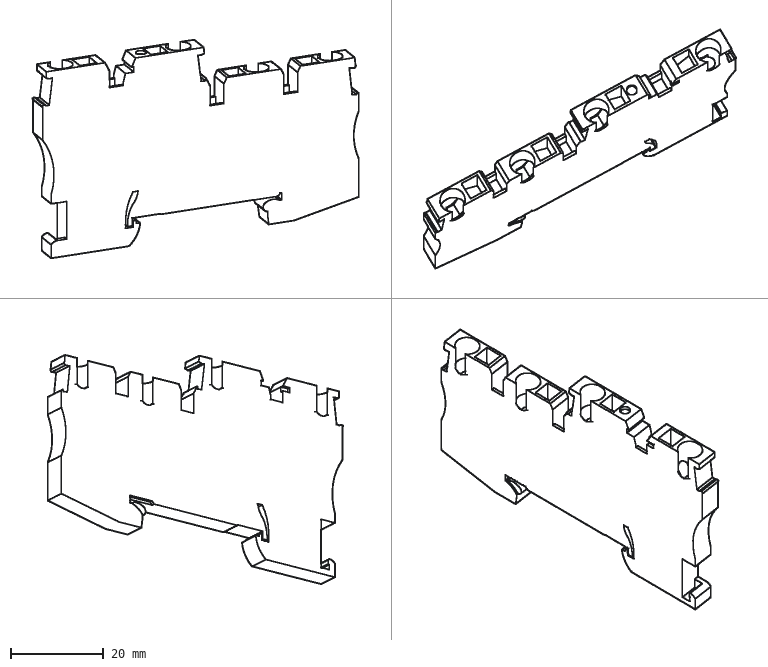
import cadquery as cq
import math

thickness = 5.2
near_face = -thickness / 2
upper_top = 43.3
lower_top = 35.5

notch_chamfer_width = 0.7
notch_chamfer_height = 1.35
notch_depth = 5.9
notch_width = 3.2
lower_notch_y = (58.8, 41.4)
upper_notch_y = 17.7
upper_notch_floor = upper_top - notch_depth
notch_pocket_width = 3.8
notch_pocket_depth = 3.75

bore_radius = 2.55
bore_straight = 0.4
bore_x = -0.34
bore_depth = 6.1
funnel_depth = 2.7
funnel_end_radius = 1.3
ramp_x = -0.2
ramp_width = 2.9
ramp_height = 1.8
ramp_start = -1.9
ramp_end = -1.2
wall_height = 1.8
channel_end = 0.7
opening_step = 5.55

opening_size = 4.0
opening_depth = 4.5
opening_slope = 35.0

terminals = [
    (69.35, lower_top, -1),
    (52.0, lower_top, -1),
    (33.55, upper_top, -1),
    (5.7, upper_top, 1),
]

test_hole_y = 24.6
test_hole_diameter = 2.25
test_hole_depth = 0.75

rail_recess_depth = 0.75
catch_recess_depth = 0.4
latch_slot_depth = 0.75
latch_top = 41.2
latch_bottom = 40.1
latch_slot_end = 14.2
foot_pocket_depth = 4.05


def side_plane():
    """Sketch plane on the -X flank: local x is Y, local y is Z, normal is +X."""
    return cq.Workplane("YZ", origin=(near_face, 0, 0))


def notch_outline(center_y, deck_z):
    """Points of a chamfered notch, from its +Y side to its -Y side."""
    half = notch_width / 2
    wide = half + notch_chamfer_width
    shoulder = deck_z - notch_chamfer_height
    floor = deck_z - notch_depth
    left_side = [(wide, deck_z), (half, shoulder), (half, floor)]
    right_side = [(-y, z) for y, z in reversed(left_side)]
    return [(center_y + y, z) for y, z in left_side + right_side]


def make_body():
    """Side outline of the block, extruded through the thickness."""
    end_lip = [
        (74.9, 27.1), (74.5, 27.3), (74.3, 26.9), (73.3, 27.0), (72.65, 33.25),
        (73.85, 33.1), (74.2, 33.55), (74.1, 34.0), (73.9, lower_top),
    ]
    first_notch, second_notch = [notch_outline(y, lower_top) for y in lower_notch_y]
    step_lip = [
        (38.8, 36.1), (38.65, lower_top), (37.7, 35.5), (36.9, 41.65),
        (37.7, 41.6), (38.4, 41.9), (38.3, upper_top),
    ]
    notch_left = upper_notch_y + notch_width / 2
    notch_right = upper_notch_y - notch_width / 2
    upper_notch = [
        (22.2, upper_top), (21.3, 41.3), (21.8, latch_top), (21.8, latch_bottom), (19.8, latch_bottom),
        (notch_left, 38.2), (notch_left, upper_notch_floor),
        (notch_right, upper_notch_floor), (notch_right, latch_top), (15.0, upper_top),
    ]
    front_lip = [
        (1.1, upper_top), (1.1, 41.8), (1.65, 41.6), (2.55, 41.65), (1.8, 35.5),
        (1.1, 35.4), (0.5, 35.7), (0, 35.5), (0.2, 35.2),
    ]
    clip_gap = [(2.25, 12.6), (5.9, 12.6), (5.9, 3.9), (3.75, 3.9)]
    hook = [
        (22.4, 5.0), (22.3, 5.7), (21.65, 5.7), (21.65, 4.95), (21.6, 4.3), (19.85, 4.3),
    ]
    rail_edge = [
        (21.4, 6.4), (28.0, 6.4), (28.15, 6.2), (55.9, 6.2), (56.3, 6.8), (56.6, 6.8), (56.6, 5.25),
    ]
    underside = [(53.3, 2.25), (53.6, 0), (59.55, 0), (74.9, 3.15), (74.9, 12.0)]
    outline = side_plane().moveTo(74.9, 23.1)
    for point in end_lip + first_notch + second_notch[:-1] + step_lip + upper_notch + front_lip:
        outline = outline.lineTo(*point)
    outline = outline.lineTo(0.2, 27.6).threePointArc((2.9, 19.5), (2.25, 14.75))
    for point in clip_gap:
        outline = outline.lineTo(*point)
    outline = outline.tangentArcPoint((2.25, 3.15), relative=False).lineTo(2.25, 0).lineTo(20.6, 0)
    outline = outline.threePointArc((22.55, 2.4), (23.3, 4.95))
    for point in hook:
        outline = outline.lineTo(*point)
    outline = outline.lineTo(19.85, 6.5).threePointArc((20.3, 9.4), (21.6, 12.4))
    outline = outline.lineTo(22.8, 12.4).threePointArc((22.25, 10.6), (21.4, 9.4))
    outline = outline.threePointArc((20.5, 7.2), (20.3, 4.6)).lineTo(21.4, 4.6)
    for point in rail_edge:
        outline = outline.lineTo(*point)
    outline = outline.lineTo(56.1, 5.25).threePointArc((54.7, 5.7), (53.2, 5.3))
    outline = outline.threePointArc((52.3, 4.3), (53.1, 3.1)).lineTo(53.3, 3.1)
    for point in underside:
        outline = outline.lineTo(*point)
    return outline.threePointArc((73.7, 17.5), (74.9, 23.1)).close().extrude(thickness)


def flank_recesses():
    """Shallow cuts into the -X flank."""
    rail_recess = (
        side_plane()
        .polyline([(56.6, 6.8), (50.85, 6.8), (50.25, 6.2), (56.6, 6.2)])
        .close()
        .extrude(rail_recess_depth)
    )
    catch_recess = (
        side_plane()
        .moveTo(56.6, 5.25)
        .threePointArc((54.75, 4.4), (53.3, 3.1))
        .lineTo(51.7, 3.1)
        .lineTo(51.7, 6.0)
        .lineTo(56.6, 6.0)
        .close()
        .extrude(catch_recess_depth)
    )
    latch_slot = (
        side_plane()
        .polyline([
            (upper_notch_y, latch_bottom), (latch_slot_end, latch_bottom),
            (latch_slot_end, latch_top), (upper_notch_y, latch_top),
        ])
        .close()
        .extrude(latch_slot_depth)
    )
    foot_pocket = (
        side_plane()
        .polyline([(5.9, 3.9), (5.9, 1.4), (3.8, 1.4), (3.8, 2.55), (4.05, 2.7), (4.05, 3.6), (3.75, 3.9)])
        .close()
        .extrude(foot_pocket_depth)
    )
    return [rail_recess, catch_recess, latch_slot, foot_pocket]


def wire_funnel(center_y, deck_z, side):
    """Oblong bore and tapered funnel, flattened by a ramp on the side of the tool opening."""
    length = bore_straight + 2 * bore_radius
    taper = math.degrees(math.atan((bore_radius - funnel_end_radius) / funnel_depth))

    def mouth():
        """Oblong section at the level where the bore meets the funnel."""
        return cq.Workplane("XY", origin=(bore_x, 0, -bore_depth)).slot2D(length, 2 * bore_radius, 90)

    bore = mouth().extrude(bore_depth)
    funnel = mouth().extrude(-funnel_depth, taper=taper)
    floor_z = -bore_depth - funnel_depth
    ramp_top = floor_z + ramp_height
    wall_top = ramp_top + wall_height
    wall_and_ramp = [(-length / 2, wall_top), (ramp_start, ramp_top), (ramp_end, floor_z)]
    below_ramp = (
        cq.Workplane("YZ")
        .polyline(wall_and_ramp + [(-length / 2, floor_z)])
        .close()
        .extrude(thickness, both=True)
    )
    flat_channel = (
        cq.Workplane("YZ", origin=(ramp_x - ramp_width / 2, 0, 0))
        .polyline(wall_and_ramp + [(channel_end, floor_z), (channel_end, wall_top)])
        .close()
        .extrude(ramp_width)
    )
    full_height_bore = bore.union(mouth().extrude(-funnel_depth))
    tool = bore.union(funnel).cut(below_ramp).union(flat_channel.intersect(full_height_bore))
    if side > 0:
        tool = tool.mirror("XZ")
    return tool.translate((0, center_y, deck_z))


def tool_opening(center_y, deck_z, side):
    """Square pocket whose floor drops towards the given side."""
    half = opening_size / 2
    deep_end = opening_depth + opening_size * math.tan(math.radians(opening_slope))
    return (
        cq.Workplane("YZ", origin=(-half, 0, 0))
        .polyline([
            (center_y - half, deck_z), (center_y + half, deck_z),
            (center_y + half, deck_z - (deep_end if side > 0 else opening_depth)),
            (center_y - half, deck_z - (deep_end if side < 0 else opening_depth)),
        ])
        .close()
        .extrude(opening_size)
    )


def notch_pocket(center_y, floor_z):
    """Rectangular pocket in the floor of a notch, leaving a thin wall on each flank."""
    return (
        cq.Workplane("XY", origin=(0, center_y, floor_z))
        .rect(notch_pocket_width, notch_width)
        .extrude(-notch_pocket_depth)
    )


def test_hole():
    """Shallow round hole in the raised deck."""
    return (
        cq.Workplane("XY", origin=(0, test_hole_y, upper_top))
        .circle(test_hole_diameter / 2)
        .extrude(-test_hole_depth)
    )


result = make_body()

for recess in flank_recesses():
    result = result.cut(recess)

for bore_y, deck, opening_side in terminals:
    result = result.cut(wire_funnel(bore_y, deck, opening_side))
    result = result.cut(tool_opening(bore_y + opening_side * opening_step, deck, opening_side))

for notch_y in lower_notch_y:
    result = result.cut(notch_pocket(notch_y, lower_top - notch_depth))
result = result.cut(notch_pocket(upper_notch_y, upper_notch_floor))

result = result.cut(test_hole())